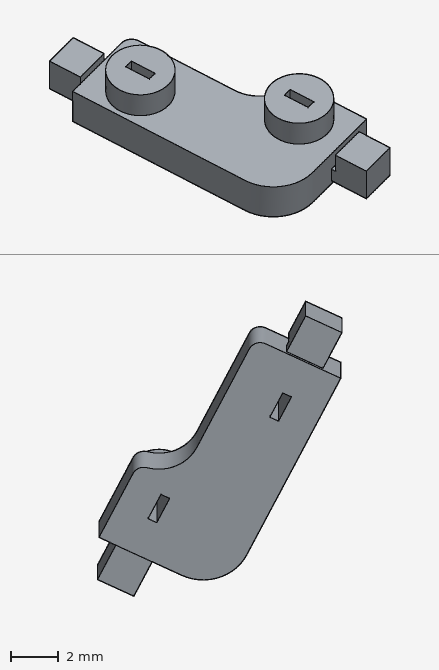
import cadquery as cq
import math

length = 14.5
depth = 5.89
height = 3.05

body_height = 1.8
body_left = 1.8
body_right = length - body_left
shoulder_y = 4.02
corner_radius = 0.51
front_corner_radius = 2.03
notch_radius = 1.77
notch_center_x = 7.25

stud_diameter = 2.9
stud_centers = [(4.07, 1.68), (10.43, 4.22)]
slot_length = 1.22
slot_width = 0.4

tab_width = 1.7
tab_bottom = 0.19
tab_step = 0.88
tab_top = 1.84
tab_block_length = 1.6


def arc_point(center, radius, angle):
    """Point on a circle; angle in radians."""
    return (center[0] + radius * math.cos(angle), center[1] + radius * math.sin(angle))


def make_body():
    """Stepped plate whose concave step runs tangentially into a convex corner."""
    notch_center = (notch_center_x, shoulder_y + notch_radius)
    step_center_y = depth - corner_radius
    center_distance = notch_radius + corner_radius
    join_angle = math.asin((step_center_y - notch_center[1]) / center_distance)
    step_center = arc_point(notch_center, center_distance, join_angle)
    join = arc_point(notch_center, notch_radius, join_angle)
    notch_mid = arc_point(notch_center, notch_radius, (join_angle - math.pi / 2) / 2)
    step_mid = arc_point(step_center, corner_radius, (join_angle + math.pi + math.pi / 2) / 2)

    outline = (
        cq.Workplane("XY")
        .moveTo(body_left, 0)
        .lineTo(body_right, 0)
        .lineTo(body_right, depth)
        .lineTo(step_center[0], depth)
        .threePointArc(step_mid, join)
        .threePointArc(notch_mid, (notch_center_x, shoulder_y))
        .lineTo(body_left, shoulder_y)
        .close()
    )
    body = outline.extrude(body_height)
    body = body.edges(cq.selectors.NearestToPointSelector((body_right, 0, body_height / 2))).fillet(
        front_corner_radius
    )
    return body.edges(
        cq.selectors.NearestToPointSelector((body_left, shoulder_y, body_height / 2))
    ).fillet(corner_radius)


def make_box(x_start, x_end, center_y, z_start, z_end):
    """Terminal-wide box between the given X and Z limits."""
    return (
        cq.Workplane("XY", origin=((x_start + x_end) / 2, center_y, z_start))
        .rect(x_end - x_start, tab_width)
        .extrude(z_end - z_start)
    )


left_tab_y = stud_centers[0][1]
right_tab_y = stud_centers[1][1]

result = make_body()

result = result.union(make_box(0, body_left, left_tab_y, tab_bottom, tab_step))
result = result.union(make_box(0, tab_block_length, left_tab_y, tab_step, tab_top))
result = result.union(make_box(body_right, length, right_tab_y, tab_bottom, tab_step))
result = result.union(
    make_box(length - tab_block_length, length, right_tab_y, tab_step, tab_top)
)

studs = (
    cq.Workplane("XY", origin=(0, 0, body_height))
    .pushPoints(stud_centers)
    .circle(stud_diameter / 2)
    .extrude(height - body_height)
)
slots = cq.Workplane("XY").pushPoints(stud_centers).rect(slot_length, slot_width).extrude(height)
result = result.union(studs).cut(slots)